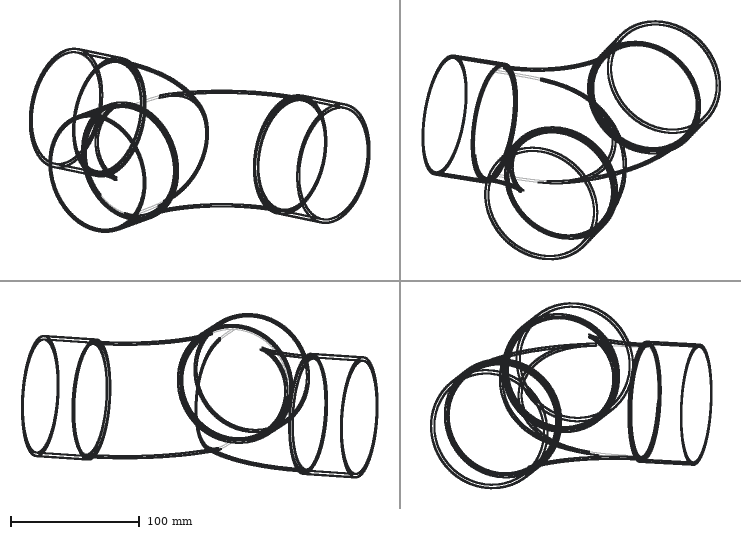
import math

import cadquery as cq

length = 260.0
depth = 178.5

pipe_radius = 90.0 / 2
passage_radius = 86.3 / 2
socket_radius = 93.5 / 2
socket_length = 42.0
inlet_bore_radius = 90.0 / 2
branch_bore_radius = 88.1 / 2

branch_mouth = length / 2
inlet_mouth = depth - socket_radius
bend_radius = inlet_mouth - socket_length

branch_bore_depth = branch_mouth - bend_radius

stop_round = inlet_bore_radius - passage_radius


def double_bend(radius):
    """Two quarter-turn round sweeps that share the inlet end."""
    both = cq.Workplane("XY")
    for side in (1, -1):
        elbow = (
            cq.Workplane("XZ", origin=(0, -bend_radius, 0))
            .circle(radius)
            .revolve(90, (side * bend_radius, 0), (side * bend_radius, -side))
        )
        both = both.union(elbow)
    return both


def branch_cylinders(radius, cylinder_length):
    """Cylinders running inward from the two branch mouths."""
    cylinders = cq.Workplane("XY")
    for side in (1, -1):
        branch = (
            cq.Workplane("YZ", origin=(side * branch_mouth, 0, 0))
            .circle(radius)
            .extrude(-side * cylinder_length)
        )
        cylinders = cylinders.union(branch)
    return cylinders


def inlet_socket():
    return cq.Workplane("XZ", origin=(0, -inlet_mouth, 0)).circle(socket_radius).extrude(-socket_length)


def inlet_cavity():
    """Inlet bore that narrows to the passage over a convex quarter-round stop ring."""
    stop_front = -bend_radius - stop_round
    arc_offset = stop_round * math.sqrt(0.5)
    return (
        cq.Workplane("XY")
        .moveTo(0, -inlet_mouth)
        .lineTo(inlet_bore_radius, -inlet_mouth)
        .lineTo(inlet_bore_radius, stop_front)
        .threePointArc(
            (inlet_bore_radius - arc_offset, -bend_radius - arc_offset),
            (passage_radius, -bend_radius),
        )
        .lineTo(0, -bend_radius)
        .close()
        .revolve(360, (0, 0), (0, 1))
    )


outside = (
    double_bend(pipe_radius)
    .union(branch_cylinders(socket_radius, socket_length))
    .union(inlet_socket())
)
result = (
    outside.cut(double_bend(passage_radius))
    .cut(branch_cylinders(branch_bore_radius, branch_bore_depth))
    .cut(inlet_cavity())
)